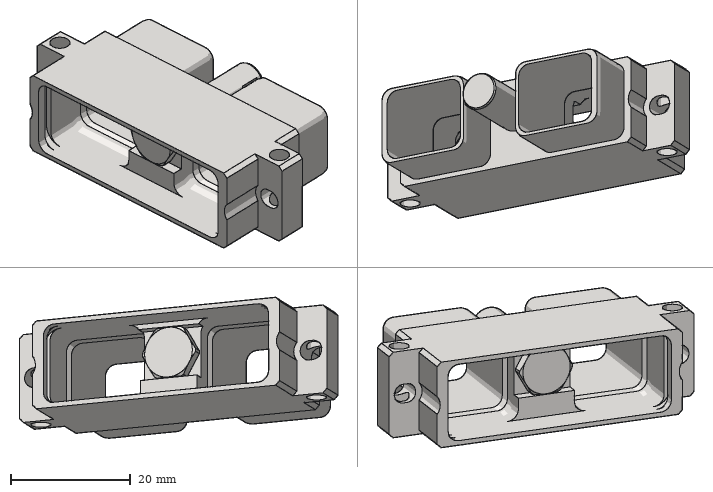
import cadquery as cq

BODY_WIDTH = 44.55
BODY_DEPTH = 17.9
HEIGHT = 15.2
EDGE_CHAMFER = 0.7

OVERALL_WIDTH = 55.4
EAR_FRONT = 7.75
EAR_DEPTH = 5.05
EAR_HOLE_X = 24.8
EAR_CROSS_HOLE_DIAMETER = 3.3
SLOT_LENGTH = 3.9
SLOT_HEIGHT = 3.3

GROOVE_RADIUS = 2.45
GROOVE_DEPTH = 0.55

CAVITY_WIDTH = 40.55
CAVITY_HEIGHT = 13.5
CAVITY_CORNER = 1.95
BLOCK_FRONT = 5.7
SNAP_GROOVE_START = 1.6
SNAP_GROOVE_END = 3.05
SNAP_GROOVE_DEPTH = 1.0

SHELL_X = 12.9
SHELL_WIDTH = 16.05
SHELL_END = 26.7
SHELL_CORNER = 2.05
SHELL_TAPER_LENGTH = 0.9
SHELL_TAPER_INSET = 0.15
POCKET_WIDTH = 15.2
POCKET_X = (CAVITY_WIDTH - POCKET_WIDTH) / 2
RAMP_START = 8.3
RAMP_END = 9.55
SEAT_HEIGHT = 12.85
SEAT_END = 10.4
WINDOW_WIDTH = 14.1
WINDOW_HEIGHT = 12.15
WINDOW_START = 11.35

SCREW_Z = 1.5
HEAD_RECESS_HEIGHT = 8.8
HEAD_RECESS_FLOOR = 7.6
HEAD_FLATS = 8.55
HEAD_TURN = 30
HEAD_CORNER_DIAMETER = 9.6
HEAD_FRONT = 5.65
HEAD_CHAMFER_LENGTH = 0.3
HEAD_CHAMFER_INSET = 0.5
SHANK_DIAMETER = 6.3
SHANK_END = 30.35
SHANK_CHAMFER_LENGTH = 0.35
SHANK_CHAMFER_INSET = 0.15
KEY_REACH = 3.7
KEY_WIDTH = 2.05
KEY_HEIGHT = 2.9
KEY_Y = 27.4
KEY_CHAMFER = 0.3
KEY_SEAT_X = 2.45
KEY_SEAT_LENGTH = 3.55


def plane_at(y, x=0, z=0):
    """Sketch plane facing +Y, with its local Y axis along +Z."""
    return cq.Plane(origin=(x, y, z), xDir=(-1, 0, 0), normal=(0, 1, 0))


def block(width, height, start, end, x=0, z=0):
    return cq.Workplane(plane_at(start, x, z)).rect(width, height).extrude(end - start)


def rounded_block(width, height, corner, start, end, x=0):
    return block(width, height, start, end, x).edges("|Y").fillet(corner)


def tapered_block(front_size, rear_size, front_corner, rear_corner, start, end, x):
    """Loft between two rounded rectangles, each size being (width, height)."""
    front = cq.Sketch().rect(*front_size).vertices().fillet(front_corner)
    rear = cq.Sketch().rect(*rear_size).vertices().fillet(rear_corner)
    rear_offset = cq.Location(cq.Vector(0, 0, end - start))
    return cq.Workplane(plane_at(start, x)).placeSketch(front, rear.moved(rear_offset)).loft()


def make_body():
    body = block(BODY_WIDTH, HEIGHT, 0, BODY_DEPTH).edges("|Y").chamfer(EDGE_CHAMFER)
    groove_x = BODY_WIDTH / 2 - GROOVE_DEPTH + GROOVE_RADIUS
    for side in (-1, 1):
        groove = cq.Workplane(plane_at(0, side * groove_x)).circle(GROOVE_RADIUS).extrude(BODY_DEPTH)
        body = body.cut(groove)
    ears = block(OVERALL_WIDTH, HEIGHT, EAR_FRONT, EAR_FRONT + EAR_DEPTH)
    return body.union(ears.edges("|Y").chamfer(EDGE_CHAMFER))


def make_ear_holes(side):
    x = side * EAR_HOLE_X
    slot = cq.Workplane(plane_at(EAR_FRONT, x)).slot2D(SLOT_LENGTH, SLOT_HEIGHT).extrude(EAR_DEPTH)
    cross_hole = (
        cq.Workplane("XY", origin=(x, EAR_FRONT + EAR_DEPTH / 2, -HEIGHT / 2))
        .circle(EAR_CROSS_HOLE_DIAMETER / 2)
        .extrude(HEIGHT)
    )
    return slot.union(cross_hole)


def make_shell(side):
    x = side * SHELL_X
    taper_start = SHELL_END - SHELL_TAPER_LENGTH
    shell = rounded_block(SHELL_WIDTH, CAVITY_HEIGHT, SHELL_CORNER, BODY_DEPTH, taper_start, x)
    tip = tapered_block(
        (SHELL_WIDTH, CAVITY_HEIGHT),
        (SHELL_WIDTH - 2 * SHELL_TAPER_INSET, CAVITY_HEIGHT - 2 * SHELL_TAPER_INSET),
        SHELL_CORNER,
        SHELL_CORNER - SHELL_TAPER_INSET,
        taper_start,
        SHELL_END,
        x,
    )
    return shell.union(tip)


def make_cavity():
    """Open cavity with a snap groove let into its two end walls."""
    groove_width = CAVITY_WIDTH + 2 * SNAP_GROOVE_DEPTH
    groove_corner = CAVITY_CORNER + SNAP_GROOVE_DEPTH
    cavity = rounded_block(CAVITY_WIDTH, CAVITY_HEIGHT, CAVITY_CORNER, 0, BLOCK_FRONT)
    return cavity.union(
        rounded_block(groove_width, CAVITY_HEIGHT, groove_corner, SNAP_GROOVE_START, SNAP_GROOVE_END)
    )


def make_passage(side):
    """Pocket behind the cavity, ramped to a lower seat and then chamfered to the shell window."""
    x = side * POCKET_X
    pocket_size = (POCKET_WIDTH, CAVITY_HEIGHT)
    seat_size = (POCKET_WIDTH, SEAT_HEIGHT)
    window_size = (WINDOW_WIDTH, WINDOW_HEIGHT)
    corner = CAVITY_CORNER
    pocket = rounded_block(*pocket_size, corner, BLOCK_FRONT, RAMP_START, x)
    ramp = tapered_block(pocket_size, seat_size, corner, corner, RAMP_START, RAMP_END, x)
    seat = rounded_block(*seat_size, corner, RAMP_END, SEAT_END, x)
    lead_in = tapered_block(seat_size, window_size, corner, corner, SEAT_END, WINDOW_START, x)
    window = rounded_block(*window_size, corner, WINDOW_START, SHELL_END, x)
    return pocket.union(ramp).union(seat).union(lead_in).union(window)


def make_head_recess():
    """Slot for the screw head, open at both sides into the pockets."""
    return block(2 * POCKET_X, HEAD_RECESS_HEIGHT, BLOCK_FRONT, HEAD_RECESS_FLOOR, z=SCREW_Z)


def make_screw():
    """Chamfered hexagon head, round shank, and a side key whose top is flush with a flat on the shank."""
    head_length = HEAD_RECESS_FLOOR - HEAD_FRONT
    head_plane = plane_at(HEAD_FRONT, z=SCREW_Z)
    head = (
        cq.Workplane(head_plane.rotated((0, 0, HEAD_TURN)))
        .polygon(6, HEAD_FLATS, circumscribed=True)
        .extrude(head_length)
    )
    trim = cq.Workplane(head_plane).circle(HEAD_CORNER_DIAMETER / 2).extrude(head_length)
    head = head.intersect(trim.faces("<Y").edges().chamfer(HEAD_CHAMFER_LENGTH, HEAD_CHAMFER_INSET))
    shank = (
        cq.Workplane(plane_at(HEAD_RECESS_FLOOR, z=SCREW_Z))
        .circle(SHANK_DIAMETER / 2)
        .extrude(SHANK_END - HEAD_RECESS_FLOOR)
        .faces(">Y").edges().chamfer(SHANK_CHAMFER_LENGTH, SHANK_CHAMFER_INSET)
    )
    key = (
        cq.Workplane("XY")
        .box(KEY_REACH, KEY_WIDTH, KEY_HEIGHT, centered=(False, True, True))
        .faces(">X").edges("|Y").chamfer(KEY_CHAMFER)
        .translate((0, KEY_Y, SCREW_Z))
    )
    seat = cq.Workplane("XY").box(
        SHANK_DIAMETER, KEY_SEAT_LENGTH, SHANK_DIAMETER, centered=(False, True, False)
    )
    shank = shank.cut(seat.translate((KEY_SEAT_X, KEY_Y, SCREW_Z + KEY_HEIGHT / 2)))
    return head.union(shank).union(key)


result = make_body()
for end_side in (-1, 1):
    result = result.cut(make_ear_holes(end_side)).union(make_shell(end_side))
result = result.cut(make_cavity())
for end_side in (-1, 1):
    result = result.cut(make_passage(end_side))
result = result.cut(make_head_recess())
result = result.union(make_screw())